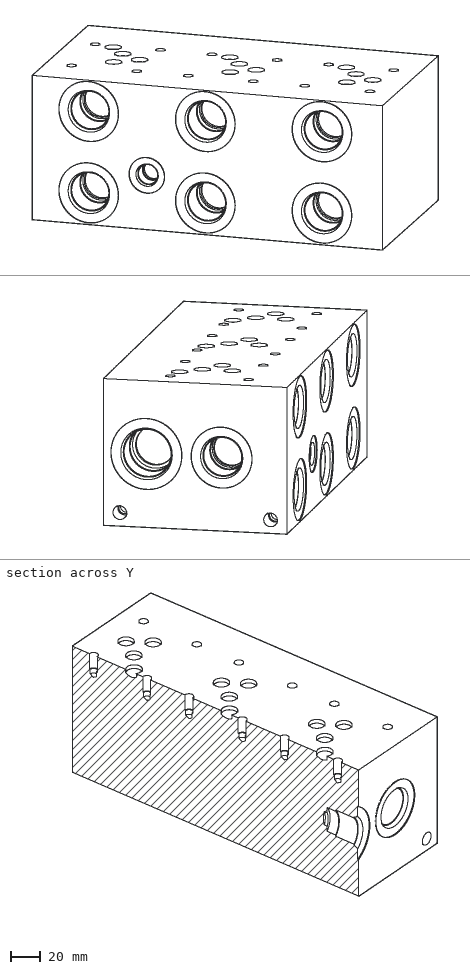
import cadquery as cq
import math

LENGTH = 247.6
WIDTH = 127.0
HEIGHT = 101.5

DRILL_POINT_ANGLE = 118.0
SPOTFACE_DEPTH = 0.7

STATION_COUNT = 3
STATION_PITCH = 82.5

BOLT_X = 18.3
BOLT_Y = 30.7
BOLT_SPACING_X = 46.0
BOLT_SPACING_Y = 54.0
BOLT_THREAD_DIAMETER = 6.5
BOLT_DRILL_DIAMETER = 5.2
BOLT_THREAD_DEPTH = 12.5
BOLT_DRILL_DEPTH = 16.0

PASSAGE_OFFSETS = [(13.5, 50.8), (24.5, 37.5), (39.6, 27.0), (24.5, 16.5)]
PASSAGE_DIAMETER = 11.1
PASSAGE_DEPTH = 3.0

WORK_PORT_X = 39.9
WORK_PORT_HEIGHTS = (22.3, 79.5)

GAUGE_X = 81.0
GAUGE_Z = 38.1

END_PORT_Z = HEIGHT / 2
TANK_Y = WIDTH - 29.7
PRESSURE_Y = WIDTH - 81.7

CORNER_INSET_Y = 11.5
CORNER_Z = 9.5
CORNER_THREAD_DIAMETER = 9.5
CORNER_DRILL_DIAMETER = 8.0
CORNER_THREAD_DEPTH = 14.9
CORNER_DRILL_DEPTH = 19.8


def turned_cutter(steps):
    tip_radius, wall_depth = steps[-1]
    tip_depth = wall_depth + tip_radius / math.tan(math.radians(DRILL_POINT_ANGLE / 2))
    outline = [(0, 0)] + [(radius, -depth) for radius, depth in steps] + [(0, -tip_depth)]
    return cq.Workplane("XZ").polyline(outline).close().revolve(360, (0, 0), (0, 1))


def plain_hole(diameter, depth):
    return turned_cutter([(diameter / 2, 0), (diameter / 2, depth)])


def tapped_hole(thread_diameter, thread_depth, drill_diameter, drill_depth):
    return turned_cutter([
        (thread_diameter / 2, 0),
        (thread_diameter / 2, thread_depth),
        (drill_diameter / 2, thread_depth),
        (drill_diameter / 2, drill_depth),
    ])


def threaded_port(spotface, seat_mouth, seat_end, seat_depth, bore_steps):
    profile = [
        (spotface / 2, 0),
        (spotface / 2, SPOTFACE_DEPTH),
        (seat_mouth / 2, SPOTFACE_DEPTH),
        (seat_end / 2, SPOTFACE_DEPTH + seat_depth),
    ]
    step_start = SPOTFACE_DEPTH + seat_depth
    for diameter, step_end in bore_steps:
        profile.append((diameter / 2, step_start))
        profile.append((diameter / 2, step_end))
        step_start = step_end
    return turned_cutter(profile)


def on_front(cutter, x, z):
    return cutter.rotate((0, 0, 0), (1, 0, 0), 90).translate((x, 0, z))


def on_left_end(cutter, y, z):
    return cutter.rotate((0, 0, 0), (0, 1, 0), -90).translate((0, y, z))


def on_top(cutter, x, y):
    return cutter.translate((x, y, HEIGHT))


bolt_hole = tapped_hole(BOLT_THREAD_DIAMETER, BOLT_THREAD_DEPTH, BOLT_DRILL_DIAMETER, BOLT_DRILL_DEPTH)
corner_hole = tapped_hole(
    CORNER_THREAD_DIAMETER, CORNER_THREAD_DEPTH, CORNER_DRILL_DIAMETER, CORNER_DRILL_DEPTH
)
passage = plain_hole(PASSAGE_DIAMETER, PASSAGE_DEPTH)
medium_port = threaded_port(
    spotface=42.0, seat_mouth=29.2, seat_end=27.5, seat_depth=3.2,
    bore_steps=[(26.3, 22.3), (25.0, 27.2), (23.0, 29.7)],
)
tank_port = threaded_port(
    spotface=49.0, seat_mouth=35.7, seat_end=33.7, seat_depth=3.2,
    bore_steps=[(32.5, 19.8), (31.2, 27.2), (27.0, 29.7)],
)
gauge_port = threaded_port(
    spotface=25.0, seat_mouth=15.5, seat_end=14.5, seat_depth=2.5,
    bore_steps=[(13.5, 12.5), (12.5, 14.9)],
)

result = cq.Workplane("XY").box(LENGTH, WIDTH, HEIGHT, centered=False)

for station in range(STATION_COUNT):
    shift = station * STATION_PITCH
    for x in (BOLT_X, BOLT_X + BOLT_SPACING_X):
        for y in (BOLT_Y, BOLT_Y + BOLT_SPACING_Y):
            result = result.cut(on_top(bolt_hole, shift + x, y))
    for x, y in PASSAGE_OFFSETS:
        result = result.cut(on_top(passage, shift + BOLT_X + x, BOLT_Y + y))
    for z in WORK_PORT_HEIGHTS:
        result = result.cut(on_front(medium_port, shift + WORK_PORT_X, z))

result = result.cut(on_front(gauge_port, GAUGE_X, GAUGE_Z))
result = result.cut(on_left_end(tank_port, TANK_Y, END_PORT_Z))
result = result.cut(on_left_end(medium_port, PRESSURE_Y, END_PORT_Z))
for y in (CORNER_INSET_Y, WIDTH - CORNER_INSET_Y):
    result = result.cut(on_left_end(corner_hole, y, CORNER_Z))